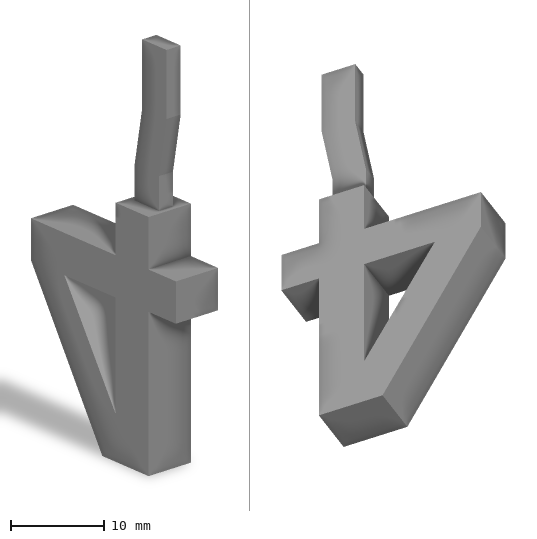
import cadquery as cq

numeral_width = 23.95
numeral_height = 30.0
numeral_depth = 6.0
post_left = 14.0
post_right = 19.45
bar_bottom = 19.0
bar_top = 23.9
foot_left = 11.8
slant_top = 19.1
window_left = 5.55
window_bottom = 5.55

total_height = 49.0
strip_width = 4.0
strip_thickness = 2.0
strip_left = 14.8
strip_offset = 1.25
lower_length = 4.0
upper_length = 8.0


def extrude_centred(outline, depth):
    """Extrude a closed X-Z outline evenly to both sides of Y = 0."""
    return cq.Workplane("XZ").polyline(outline).close().extrude(depth / 2, both=True)


def make_numeral():
    outline = [
        (foot_left, 0),
        (post_right, 0),
        (post_right, bar_bottom),
        (numeral_width, bar_bottom),
        (numeral_width, bar_top),
        (post_right, bar_top),
        (post_right, numeral_height),
        (post_left, numeral_height),
        (post_left, bar_top),
        (0, bar_top),
        (0, slant_top),
    ]
    window = [
        (window_left, bar_bottom),
        (post_left, bar_bottom),
        (post_left, window_bottom),
    ]
    return extrude_centred(outline, numeral_depth).cut(extrude_centred(window, numeral_depth))


def make_strip():
    lower_bend = numeral_height + lower_length
    upper_bend = total_height - upper_length
    upper_left = strip_left + strip_offset
    left_edge = [
        (strip_left, numeral_height),
        (strip_left, lower_bend),
        (upper_left, upper_bend),
        (upper_left, total_height),
    ]
    right_edge = [(x + strip_width, z) for x, z in reversed(left_edge)]
    return extrude_centred(left_edge + right_edge, strip_thickness)


numeral = make_numeral()
strip = make_strip()
result = cq.Compound.makeCompound([numeral.val(), strip.val()])